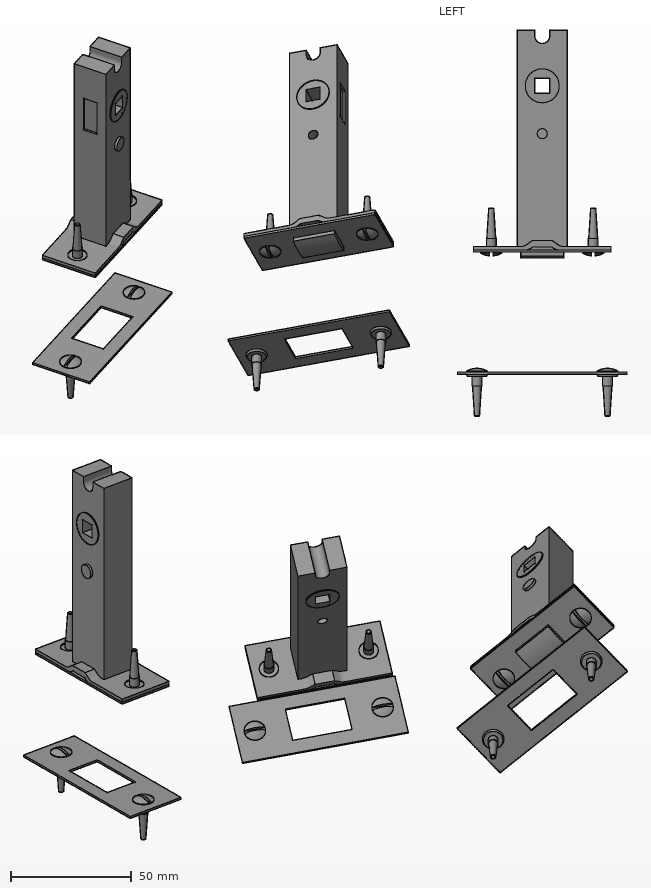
import cadquery as cq
import math

CASE_X = 15.0
CASE_Y = 20.8
CASE_TOP = 159.6
NOTCH_WIDTH = 6.0
NOTCH_DEPTH = 5.5
WINDOW_X = 6.4
WINDOW_HEIGHT = 16.5
WINDOW_Z = 135.0
WINDOW_DEPTH = 1.0
BUTTON_Z = 116.8
BUTTON_DIAMETER = 6.0
BUTTON_HEIGHT = 1.1
BLIND_HOLE_DIAMETER = 4.2

FACE_X = 25.0
FACE_Y = 57.0
FACE_BOTTOM = 67.8
SHEET_THICKNESS = 1.0
MOUNT_THICKNESS = 1.5
MOUNT_BOTTOM = FACE_BOTTOM + SHEET_THICKNESS
MOUNT_TOP = MOUNT_BOTTOM + MOUNT_THICKNESS
FACE_SCREW_Y = 21.0

STRIKE_X = 27.0
STRIKE_Y = 70.0
STRIKE_TOP = 18.4
STRIKE_SCREW_Y = 27.0
STRIKE_WINDOW_X = 15.0
STRIKE_WINDOW_Y = 25.0

BRIDGE_HEIGHT = 2.4
BRIDGE_TOP_HALF = 4.2
BRIDGE_FOOT_HALF = 7.5
FOOT_FILLET = 4.0
TUNNEL_HEIGHT = 1.3
TUNNEL_TOP_HALF = 3.8
TUNNEL_FOOT_HALF = 5.7

HUB_Z = 136.6
HUB_DIAMETER = 14.0
HUB_PROUD = 0.5
SPINDLE_SQUARE = 6.0

BOLT_X = 13.0
BOLT_Y = 17.9
BOLT_SIDE_PROUD = 1.6
BOLT_CROWN = 0.8
BOLT_INSIDE = 16.0

SCREW_LENGTH = STRIKE_TOP
HEAD_RADIUS = 4.5
RIM_HEIGHT = 0.3
DOME_HEIGHT = 1.3
HEAD_DEPTH = 1.9
HEAD_BASE_RADIUS = 4.0
NECK_RADIUS = 2.0
TAPER_RADIUS = 1.9
NECK_END = 5.7
TIP_RADIUS = 1.1
TIP_CHAMFER = 0.3
SLOT_WIDTH = 1.3


def box(x, y, z_bottom, z_top):
    """Box centred on the Z axis between two heights."""
    return cq.Workplane("XY", origin=(0, 0, z_bottom)).rect(x, y).extrude(z_top - z_bottom)


def rod_along_x(diameter, z, x_start, x_end):
    return cq.Workplane("YZ", origin=(x_start, 0, z)).circle(diameter / 2).extrude(x_end - x_start)


def bridged_slab(z_top, half_top, half_foot, height):
    """Slab as thick as the mounting plate, with a trapezoidal ridge along X whose feet are rounded in."""
    slab = box(FACE_X, FACE_Y, z_top - MOUNT_THICKNESS, z_top)
    crest = z_top + height
    profile = [(-half_foot, z_top), (-half_top, crest), (half_top, crest), (half_foot, z_top)]
    slab = slab.union(cq.Workplane("YZ").polyline(profile).close().extrude(FACE_X / 2, both=True))
    for side in (-1, 1):
        foot = cq.selectors.NearestToPointSelector((0, side * half_foot, z_top))
        slab = slab.edges(foot).fillet(FOOT_FILLET)
    return slab


def dome_point():
    """Point halfway along the arc of the spherical dome."""
    dome_radius = (HEAD_RADIUS**2 + DOME_HEIGHT**2) / (2 * DOME_HEIGHT)
    half_angle = math.asin(HEAD_RADIUS / dome_radius) / 2
    return (
        dome_radius * math.sin(half_angle),
        RIM_HEIGHT + DOME_HEIGHT - dome_radius * (1 - math.cos(half_angle)),
    )


def make_screw():
    """Oval-head screw pointing down, with the plate face it bears on at z = 0 and its slot along Y."""
    head_top = RIM_HEIGHT + DOME_HEIGHT
    screw = (
        cq.Workplane("XZ")
        .moveTo(0, head_top)
        .threePointArc(dome_point(), (HEAD_RADIUS, RIM_HEIGHT))
        .lineTo(HEAD_RADIUS, -SHEET_THICKNESS)
        .lineTo(HEAD_BASE_RADIUS, -HEAD_DEPTH)
        .lineTo(NECK_RADIUS, -HEAD_DEPTH)
        .lineTo(NECK_RADIUS, -NECK_END)
        .lineTo(TAPER_RADIUS, -NECK_END)
        .lineTo(TIP_RADIUS, TIP_CHAMFER - SCREW_LENGTH)
        .lineTo(TIP_RADIUS - TIP_CHAMFER, -SCREW_LENGTH)
        .lineTo(0, -SCREW_LENGTH)
        .close()
        .revolve(360, (0, 0, 0), (0, 1, 0))
    )
    return screw.cut(box(SLOT_WIDTH, 2 * HEAD_RADIUS, 0, head_top))


def mirrored_pair(screw, spacing):
    return [screw.translate((0, side * spacing, 0)) for side in (-1, 1)]


def make_strike_screws():
    return mirrored_pair(make_screw().translate((0, 0, STRIKE_TOP)), STRIKE_SCREW_Y)


def make_face_screws():
    """Screws driven upwards through the faceplate, with their slots along X."""
    screw = make_screw().rotate((0, 0, 0), (0, 0, 1), 90).rotate((0, 0, 0), (1, 0, 0), 180)
    return mirrored_pair(screw.translate((0, 0, FACE_BOTTOM)), FACE_SCREW_Y)


def plate_holes(diameter, spacing, z_bottom, z_top):
    return (
        cq.Workplane("XY", origin=(0, 0, z_bottom))
        .pushPoints([(0, -spacing), (0, spacing)])
        .circle(diameter / 2)
        .extrude(z_top - z_bottom)
    )


def make_strike():
    bottom = STRIKE_TOP - SHEET_THICKNESS
    plate = box(STRIKE_X, STRIKE_Y, bottom, STRIKE_TOP)
    plate = plate.cut(box(STRIKE_WINDOW_X, STRIKE_WINDOW_Y, bottom, STRIKE_TOP))
    return plate.cut(plate_holes(2 * HEAD_RADIUS, STRIKE_SCREW_Y, bottom, STRIKE_TOP))


def make_bolt():
    shoulder = FACE_BOTTOM - BOLT_SIDE_PROUD
    top = MOUNT_TOP + BOLT_INSIDE
    return (
        cq.Workplane("XZ")
        .moveTo(-BOLT_X / 2, top)
        .lineTo(-BOLT_X / 2, shoulder)
        .threePointArc((0, shoulder - BOLT_CROWN), (BOLT_X / 2, shoulder))
        .lineTo(BOLT_X / 2, top)
        .close()
        .extrude(BOLT_Y / 2, both=True)
    )


def make_hub():
    half = CASE_X / 2 + HUB_PROUD
    hub = rod_along_x(HUB_DIAMETER, HUB_Z, -half, half)
    square = cq.Workplane("YZ", origin=(0, 0, HUB_Z)).rect(SPINDLE_SQUARE, SPINDLE_SQUARE)
    return hub.cut(square.extrude(half, both=True))


def make_mount_plate(face_screws):
    plate = bridged_slab(MOUNT_TOP, BRIDGE_TOP_HALF, BRIDGE_FOOT_HALF, BRIDGE_HEIGHT)
    tunnel = bridged_slab(MOUNT_BOTTOM, TUNNEL_TOP_HALF, TUNNEL_FOOT_HALF, TUNNEL_HEIGHT)
    plate = plate.cut(tunnel)
    plate = plate.cut(plate_holes(2 * HEAD_BASE_RADIUS, FACE_SCREW_Y, MOUNT_BOTTOM, MOUNT_TOP))
    for screw in face_screws:
        plate = plate.cut(screw)
    return plate


def top_notch():
    radius = NOTCH_WIDTH / 2
    floor = CASE_TOP - NOTCH_DEPTH
    return (
        cq.Workplane("YZ")
        .moveTo(-radius, CASE_TOP)
        .lineTo(-radius, floor + radius)
        .threePointArc((0, floor), (radius, floor + radius))
        .lineTo(radius, CASE_TOP)
        .close()
        .extrude(CASE_X / 2, both=True)
    )


def make_case(bolt, face_screws):
    """Case and mounting plate in one piece, with seats for the hub, bolt and faceplate screws."""
    case = box(CASE_X, CASE_Y, MOUNT_TOP, CASE_TOP).union(make_mount_plate(face_screws))
    case = case.cut(top_notch())
    case = case.cut(rod_along_x(HUB_DIAMETER, HUB_Z, -CASE_X / 2, CASE_X / 2))
    window = cq.Workplane("XZ", origin=(0, -CASE_Y / 2, WINDOW_Z)).rect(WINDOW_X, WINDOW_HEIGHT)
    case = case.cut(window.extrude(-WINDOW_DEPTH))
    case = case.union(rod_along_x(BUTTON_DIAMETER, BUTTON_Z, 0, CASE_X / 2 + BUTTON_HEIGHT))
    case = case.cut(rod_along_x(BLIND_HOLE_DIAMETER, BUTTON_Z, -CASE_X / 2, 0))
    return case.cut(bolt)


def make_faceplate(bolt):
    plate = box(FACE_X, FACE_Y, FACE_BOTTOM, MOUNT_BOTTOM)
    plate = plate.cut(plate_holes(2 * HEAD_RADIUS, FACE_SCREW_Y, FACE_BOTTOM, MOUNT_BOTTOM))
    return plate.cut(bolt)


bolt = make_bolt()
face_screws = make_face_screws()
strike_screws = make_strike_screws()
case = make_case(bolt, face_screws)
faceplate = make_faceplate(bolt)
hub = make_hub()
strike = make_strike()

screws = [screw.val() for screw in strike_screws + face_screws]

result = cq.Compound.makeCompound(
    [case.val(), faceplate.val(), bolt.val(), hub.val(), strike.val(), *screws]
)